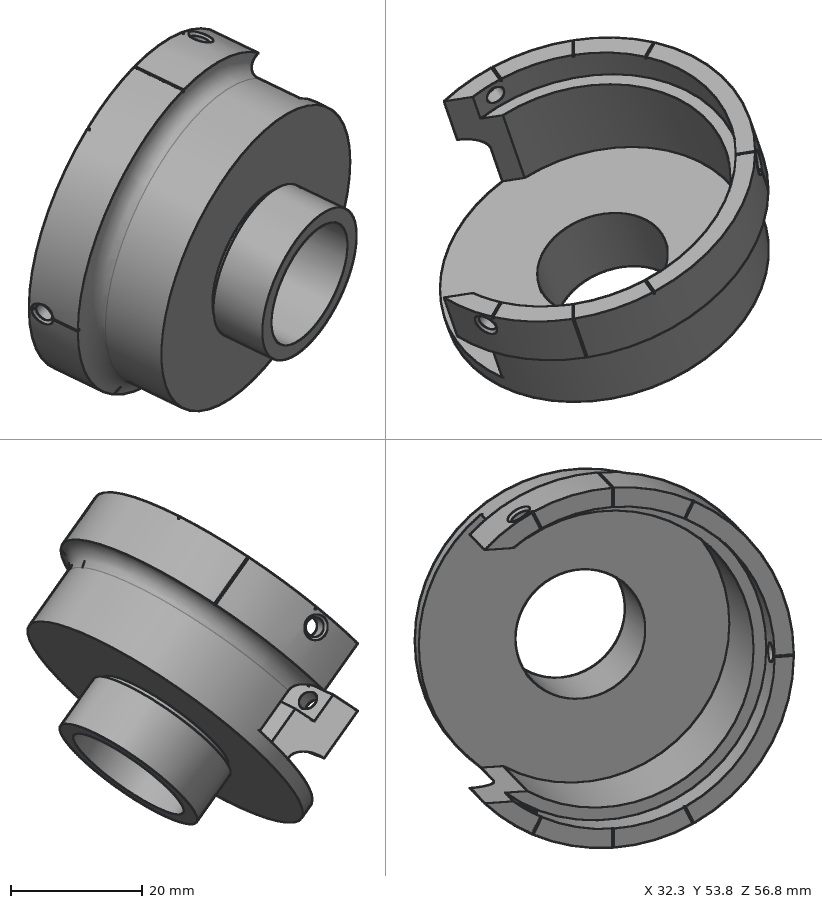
import cadquery as cq
import math

flange_length = 9.05
cavity_depth = 19.8
web_thickness = 2.6
groove_width = 0.9
total_length = 32.3
counterbore_depth = 5.1

flange_radius = 28.42
body_radius = 25.4
journal_radius = 12.7
groove_radius = 11.7
bore_radius = 10.2
cavity_radius = 23.4
counterbore_radius = body_radius

opening_height = 40.0

hole_count = 3
hole_diameter = 3.0
countersink_diameter = 4.0
hole_x = 2.5
first_hole_angle = 180.0

mark_width = 0.2
mark_depth = 0.4
vertical_mark_angles = (90.0, 270.0)
main_mark_angles = (*vertical_mark_angles, 180.0)
side_mark_offset = 26.4

web_back = cavity_depth + web_thickness
journal_start = web_back + groove_width
fillet_radius = flange_radius - body_radius
fillet_end = flange_length + fillet_radius
diagonal = math.sqrt(0.5)


def turn_about_x(shape, angle):
    """Turn a shape about the X axis; 0 degrees points to +Y and 90 degrees to +Z."""
    return shape.rotate((0, 0, 0), (1, 0, 0), angle)


def turned_body():
    """Revolve the half section: flange, concave fillet, body, relief groove, journal and bores."""
    fillet_middle = (
        fillet_end - fillet_radius * diagonal,
        flange_radius - fillet_radius * diagonal,
    )
    return (
        cq.Workplane("XY")
        .moveTo(0, counterbore_radius)
        .lineTo(0, flange_radius)
        .lineTo(flange_length, flange_radius)
        .threePointArc(fillet_middle, (fillet_end, body_radius))
        .lineTo(web_back, body_radius)
        .lineTo(web_back, groove_radius)
        .lineTo(journal_start, groove_radius)
        .lineTo(journal_start, journal_radius)
        .lineTo(total_length, journal_radius)
        .lineTo(total_length, bore_radius)
        .lineTo(cavity_depth, bore_radius)
        .lineTo(cavity_depth, cavity_radius)
        .lineTo(counterbore_depth, cavity_radius)
        .lineTo(counterbore_depth, counterbore_radius)
        .close()
        .revolve(360, (0, 0, 0), (1, 0, 0))
    )


def side_opening():
    """Block that removes the wall on the +Y side, in front of the web."""
    return cq.Workplane("XY").box(
        cavity_depth, flange_radius, opening_height, centered=(False, False, True)
    )


def screw_hole(angle):
    """Radial hole through the flange wall with a 90 degree countersink on the outside."""
    hole_radius = hole_diameter / 2
    countersink_radius = countersink_diameter / 2
    countersink_depth = countersink_radius - hole_radius
    hole_bottom = cavity_radius - hole_radius
    cutter = (
        cq.Workplane("XY")
        .moveTo(hole_x, hole_bottom)
        .lineTo(hole_x + hole_radius, hole_bottom)
        .lineTo(hole_x + hole_radius, flange_radius - countersink_depth)
        .lineTo(hole_x + countersink_radius, flange_radius)
        .lineTo(hole_x, flange_radius)
        .close()
        .revolve(360, (hole_x, 0, 0), (hole_x, 1, 0))
    )
    return turn_about_x(cutter, angle)


def face_mark(angle):
    """Radial engraved line across the front face of the flange."""
    length = flange_radius - counterbore_radius
    cutter = (
        cq.Workplane("XY")
        .box(mark_depth, length, mark_width, centered=(False, False, True))
        .translate((0, counterbore_radius, 0))
    )
    return turn_about_x(cutter, angle)


def rim_mark(angle):
    """Engraved line along the outside of the flange."""
    cutter = (
        cq.Workplane("XY")
        .box(flange_length, mark_depth, mark_width, centered=(False, False, True))
        .translate((0, flange_radius - mark_depth, 0))
    )
    return turn_about_x(cutter, angle)


result = turned_body().cut(side_opening())

for index in range(hole_count):
    result = result.cut(screw_hole(first_hole_angle + index * 360 / hole_count))

for main_angle in main_mark_angles:
    result = result.cut(face_mark(main_angle)).cut(rim_mark(main_angle))

for vertical_angle in vertical_mark_angles:
    for side in (-1, 1):
        result = result.cut(face_mark(vertical_angle + side * side_mark_offset))